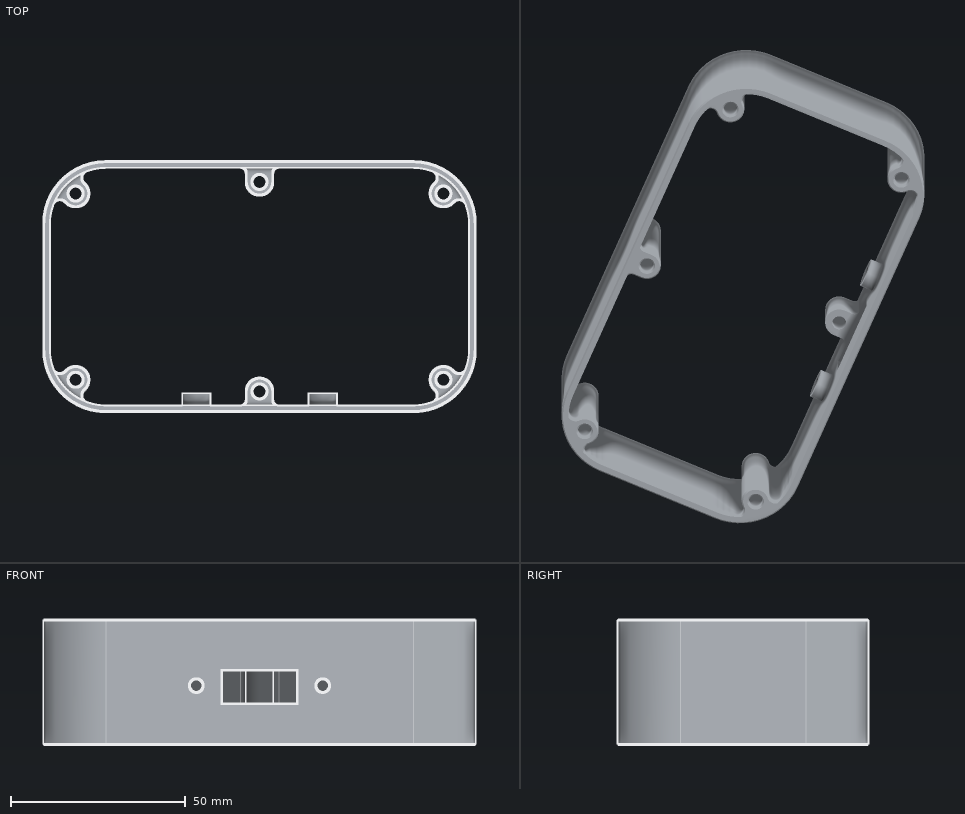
import cadquery as cq
import math

LENGTH = 124.0
WIDTH = 72.0
HEIGHT = 36.0
WALL = 2.0
CORNER_RADIUS = 18.0
RIM_CHAMFER = 0.4

POST_RADIUS = 4.0
SIDE_POST_INSET = WALL + POST_RADIUS
CORNER_POST_REACH = 12.25
POST_RECESS = 2.0
ROOT_DEPTH = 1.5
POST_HOLE_DIAMETER = 3.9
POST_CHAMFER = 0.4
CORNER_BLEND_RADIUS = 2.0
SIDE_BLEND_RADIUS = 1.5
BLEND_BITE = 0.002

BOSS_Z = 17.0
WINDOW_Z = 16.6
WINDOW_LENGTH = 21.2
WINDOW_HEIGHT = 9.2
BOSS_SPACING = 36.2
BOSS_DIAMETER = 8.2
BOSS_LENGTH = 3.5
BOSS_HOLE_DIAMETER = 3.5
OPENING_CHAMFER = 0.4

POST_HEIGHT = HEIGHT - POST_RECESS
FRONT_FACE_Y = -WIDTH / 2
CORNER_POST_OFFSET = CORNER_POST_REACH / math.sqrt(2)
CORNER_POST_X = LENGTH / 2 - CORNER_RADIUS + CORNER_POST_OFFSET
CORNER_POST_Y = WIDTH / 2 - CORNER_RADIUS + CORNER_POST_OFFSET
SIDE_POST_Y = WIDTH / 2 - SIDE_POST_INSET


def rounded_block(inset, height):
    """Block with rounded vertical corners, inset evenly from the outer outline."""
    block = cq.Workplane("XY").box(
        LENGTH - 2 * inset, WIDTH - 2 * inset, height, centered=(True, True, False)
    )
    return block.edges("|Z").fillet(CORNER_RADIUS - inset)


def make_frame():
    """Open rectangular wall with its outer rims chamfered."""
    outer = rounded_block(0, HEIGHT).faces("<Z or >Z").chamfer(RIM_CHAMFER)
    return outer.cut(rounded_block(WALL, HEIGHT))


def corner_post():
    """Post on the +X axis, blended into a wall arc centred on the origin."""
    inner_radius = CORNER_RADIUS - WALL + BLEND_BITE
    root_radius = inner_radius + ROOT_DEPTH
    blend_reach = inner_radius - CORNER_BLEND_RADIUS
    blend_y = POST_RADIUS + CORNER_BLEND_RADIUS
    blend_x = math.sqrt(blend_reach**2 - blend_y**2)
    wall_x = blend_x * inner_radius / blend_reach
    wall_y = blend_y * inner_radius / blend_reach
    root_x = blend_x * root_radius / blend_reach
    root_y = blend_y * root_radius / blend_reach
    return (
        cq.Workplane("XY")
        .moveTo(root_x, root_y)
        .lineTo(wall_x, wall_y)
        .radiusArc((blend_x, POST_RADIUS), CORNER_BLEND_RADIUS)
        .lineTo(CORNER_POST_REACH, POST_RADIUS)
        .threePointArc((CORNER_POST_REACH - POST_RADIUS, 0), (CORNER_POST_REACH, -POST_RADIUS))
        .lineTo(blend_x, -POST_RADIUS)
        .radiusArc((wall_x, -wall_y), CORNER_BLEND_RADIUS)
        .lineTo(root_x, -root_y)
        .threePointArc((root_radius, 0), (root_x, root_y))
        .close()
        .extrude(POST_HEIGHT)
        .faces("<Z or >Z")
        .chamfer(POST_CHAMFER)
    )


def side_post():
    """Post against the middle of the +Y wall, with straight flanks and root blends."""
    wall_y = WIDTH / 2 - WALL
    root_y = wall_y + ROOT_DEPTH
    root_x = POST_RADIUS + SIDE_BLEND_RADIUS
    flank_y = wall_y - SIDE_BLEND_RADIUS
    return (
        cq.Workplane("XY")
        .moveTo(-root_x, root_y)
        .lineTo(-root_x, wall_y)
        .radiusArc((-POST_RADIUS, flank_y), SIDE_BLEND_RADIUS)
        .lineTo(-POST_RADIUS, SIDE_POST_Y)
        .threePointArc((0, SIDE_POST_Y - POST_RADIUS), (POST_RADIUS, SIDE_POST_Y))
        .lineTo(POST_RADIUS, flank_y)
        .radiusArc((root_x, wall_y), SIDE_BLEND_RADIUS)
        .lineTo(root_x, root_y)
        .close()
        .extrude(POST_HEIGHT)
        .faces("<Z or >Z")
        .chamfer(POST_CHAMFER)
    )


def chamfered_post_hole(x, y):
    """Through-hole cutter for one post, flared at both post ends."""
    hole = cq.Workplane("XY").center(x, y).circle(POST_HOLE_DIAMETER / 2).extrude(HEIGHT)
    mouth_radius = POST_HOLE_DIAMETER / 2 + POST_CHAMFER
    for end_z, inward in ((0, 1), (POST_HEIGHT, -1)):
        flare = cq.Solid.makeCone(
            mouth_radius, mouth_radius - POST_CHAMFER, POST_CHAMFER,
            pnt=cq.Vector(x, y, end_z), dir=cq.Vector(0, 0, inward),
        )
        hole = hole.union(cq.Workplane(obj=flare))
    return hole


def add_posts(body):
    """Add four corner posts and two side posts, then drill them."""
    hole_places = []
    for side_y in (1, -1):
        for side_x in (1, -1):
            angle = math.degrees(math.atan2(side_y, side_x))
            arc_x = side_x * (LENGTH / 2 - CORNER_RADIUS)
            arc_y = side_y * (WIDTH / 2 - CORNER_RADIUS)
            post = corner_post().rotate((0, 0, 0), (0, 0, 1), angle)
            body = body.union(post.translate((arc_x, arc_y, 0)))
            hole_places.append((side_x * CORNER_POST_X, side_y * CORNER_POST_Y))
        turn = 0 if side_y > 0 else 180
        body = body.union(side_post().rotate((0, 0, 0), (0, 0, 1), turn))
        hole_places.append((0, side_y * SIDE_POST_Y))
    for x, y in hole_places:
        body = body.cut(chamfered_post_hole(x, y))
    return body


def front_plane(depth, height):
    """Sketch plane parallel to the -Y wall; its normal points into the part."""
    return cq.Workplane(
        cq.Plane(origin=(0, FRONT_FACE_Y + depth, height), xDir=(1, 0, 0), normal=(0, 1, 0))
    )


def post_clearance():
    """Space inside the -Y wall, from the floor to the window top, kept free of the side post."""
    width = 2 * (POST_RADIUS + SIDE_BLEND_RADIUS)
    return cq.Workplane("XY").box(
        width, 2 * POST_RADIUS, WINDOW_Z + WINDOW_HEIGHT / 2, centered=(True, False, False)
    ).translate((0, FRONT_FACE_Y + WALL, 0))


def add_connector(body):
    """Window in the -Y wall, flanked by two bosses drilled through for screws."""
    boss_places = [(-BOSS_SPACING / 2, 0), (BOSS_SPACING / 2, 0)]
    bosses = (
        front_plane(WALL / 2, BOSS_Z).pushPoints(boss_places)
        .circle(BOSS_DIAMETER / 2).extrude(WALL / 2 + BOSS_LENGTH)
    )
    holes = (
        front_plane(0, BOSS_Z).pushPoints(boss_places)
        .circle(BOSS_HOLE_DIAMETER / 2).extrude(WALL + BOSS_LENGTH)
    )
    hole_flares = (
        front_plane(0, BOSS_Z).pushPoints(boss_places)
        .circle(BOSS_HOLE_DIAMETER / 2 + OPENING_CHAMFER)
        .extrude(OPENING_CHAMFER, taper=45)
    )
    window = front_plane(0, WINDOW_Z).rect(WINDOW_LENGTH, WINDOW_HEIGHT).extrude(WALL)
    window_flare = (
        front_plane(0, WINDOW_Z)
        .rect(WINDOW_LENGTH + 2 * OPENING_CHAMFER, WINDOW_HEIGHT + 2 * OPENING_CHAMFER)
        .extrude(OPENING_CHAMFER, taper=45)
    )
    body = body.cut(post_clearance())
    return body.union(bosses).cut(holes).cut(hole_flares).cut(window).cut(window_flare)


result = add_connector(add_posts(make_frame()))